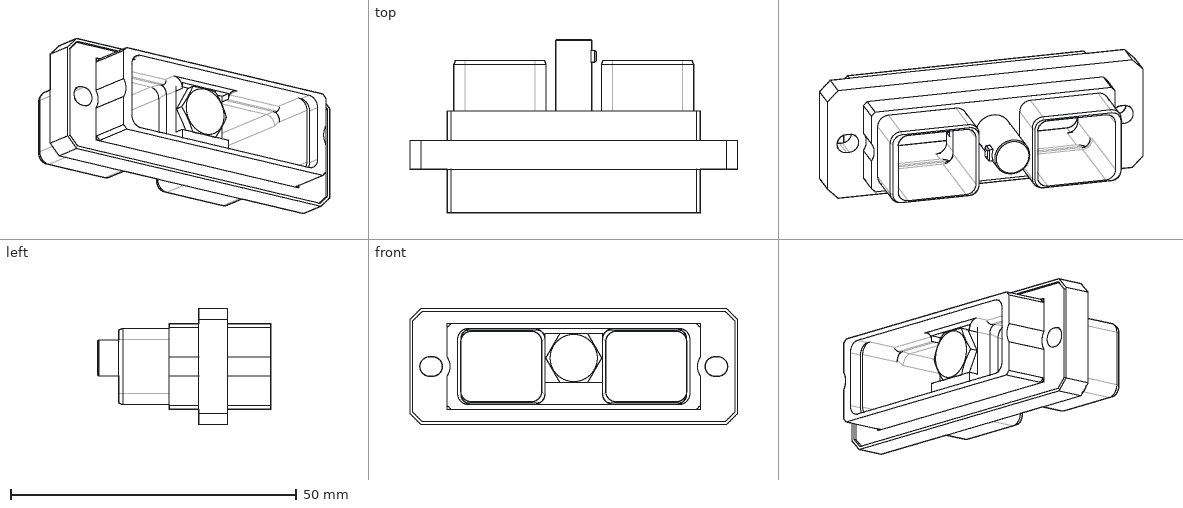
import cadquery as cq


flange_length = 57.45
flange_height = 20.35
flange_front = 7.6
flange_back = 12.7
flange_corner = 1.95
rim_width = 0.5
rim_depth = 0.5

hole_x = 25.0
hole_length = 3.9
hole_height = 3.4

shroud_length = 44.35
shroud_height = 15.05
shroud_back = 17.85
shroud_corner = 0.7
groove_depth = 0.5
groove_radius = 2.9
collar_height = 0.25

block_x = 12.9
block_length = 16.2
block_height = 13.4
block_corner = 1.95
block_back = 26.7
block_edge_depth = 0.75
block_edge_inset = 0.3

cavity_length = 40.7
cavity_height = 13.3
cavity_corner = 1.9
mouth_depth = 2.35
cell_inset = 0.6
cell_corner = 1.9
cell_inner_x = 5.05
ramp_start = 8.15
ramp_end = 9.75
ramp_rise = 0.3
divider_front = 5.65

taper_start = 10.35
taper_corner = 1.4
window_start = 11.8
window_inner_x = 5.65
window_height = 12.3
window_corner = 1.8

bolt_z = 1.5
channel_height = 8.6
channel_floor = 7.5
head_flats = 8.5
head_front = 5.75
head_face_radius = 4.15
head_bevel_slope = 0.4
shank_diameter = 6.4
shank_back = 30.4
shank_edge = 0.25

pin_y = 27.4
pin_width = 2.1
pin_reach = 3.95
pin_edge = 0.3

RIM_CORNER_FACTOR = 2 - 2 ** 0.5
HEXAGON_SIDES = 6
HEXAGON_CORNER_RATIO = 2 / 3 ** 0.5


def plane_at(y, x=0, z=0):
    """Work plane facing +Y; its local x runs along -X and its local y along +Z."""
    return cq.Workplane(cq.Plane(origin=(x, y, z), xDir=(-1, 0, 0), normal=(0, 1, 0)))


def bar(length, height, front, back, x=0, z=0):
    return plane_at(front, x, z).rect(length, height).extrude(back - front)


def rounded_bar(length, height, corner, front, back, x=0):
    return bar(length, height, front, back, x).edges("|Y").fillet(corner)


def rounded_section(length, height, corner):
    return cq.Sketch().rect(length, height).vertices().fillet(corner)


def transition(front_section, front, front_x, back_section, back, back_x):
    """Tapered length between two rounded rectangles."""
    return (
        plane_at(front)
        .placeSketch(
            front_section.moved(cq.Location(cq.Vector(-front_x, 0, 0))),
            back_section.moved(cq.Location(cq.Vector(-back_x, 0, back - front))),
        )
        .loft()
    )


def make_flange():
    flange = bar(flange_length, flange_height, flange_front, flange_back)
    flange = flange.edges("|Y").chamfer(flange_corner)
    recess = bar(
        flange_length - 2 * rim_width, flange_height - 2 * rim_width,
        flange_front, flange_front + rim_depth,
    )
    recess = recess.edges("|Y").chamfer(flange_corner - rim_width * RIM_CORNER_FACTOR)
    holes = (
        plane_at(flange_front)
        .pushPoints([(-hole_x, 0), (hole_x, 0)])
        .slot2D(hole_length, hole_height)
        .extrude(flange_back - flange_front)
    )
    return flange.cut(recess).cut(holes)


def make_shroud():
    shroud = bar(shroud_length, shroud_height, 0, shroud_back)
    shroud = shroud.edges("|Y").chamfer(shroud_corner)
    groove_x = shroud_length / 2 - groove_depth + groove_radius
    grooves = (
        plane_at(0)
        .pushPoints([(-groove_x, 0), (groove_x, 0)])
        .circle(groove_radius)
        .extrude(shroud_back)
    )
    recess_floor = flange_front + rim_depth
    collar = bar(shroud_length, shroud_height, recess_floor - collar_height, flange_back)
    return shroud.union(collar).cut(grooves)


def make_block(side):
    block = rounded_bar(
        block_length, block_height, block_corner, shroud_back, block_back, side * block_x
    )
    return block.faces(">Y").chamfer(block_edge_depth, block_edge_inset)


def make_cavity():
    """Shared front opening, stepped in at its ends and closed by the divider."""
    mouth = rounded_bar(cavity_length, cavity_height, cavity_corner, 0, mouth_depth)
    inner = rounded_bar(
        cavity_length - 2 * cell_inset, cavity_height, cell_corner, mouth_depth, divider_front
    )
    return mouth.union(inner)


def make_cell(side):
    """One cell beside the divider; ramps and a taper narrow it to a window through the block."""
    outer_x = cavity_length / 2 - cell_inset
    cell_length = outer_x - cell_inner_x
    cell_x = side * (outer_x + cell_inner_x) / 2
    cell = rounded_bar(cell_length, cavity_height, cell_corner, mouth_depth, taper_start, cell_x)

    half_height = cavity_height / 2
    low_half_height = half_height - ramp_rise
    upper_profile = [
        (mouth_depth, half_height),
        (ramp_start, half_height),
        (ramp_end, low_half_height),
        (taper_start, low_half_height),
    ]
    lower_profile = [(y, -z) for y, z in reversed(upper_profile)]
    ramped_space = (
        cq.Workplane("YZ")
        .polyline(upper_profile + lower_profile)
        .close()
        .extrude(cavity_length, both=True)
    )
    cell = cell.intersect(ramped_space)

    window_length = outer_x - window_inner_x
    window_x = side * (outer_x + window_inner_x) / 2
    taper = transition(
        rounded_section(cell_length, 2 * low_half_height, taper_corner), taper_start, cell_x,
        rounded_section(window_length, window_height, window_corner), window_start, window_x,
    )
    window = rounded_bar(
        window_length, window_height, window_corner, window_start, block_back, window_x
    )
    return cell.union(taper).union(window)


def make_bolt():
    head_corner_radius = head_flats / 2 * HEXAGON_CORNER_RATIO
    head_depth = channel_floor - head_front
    bevel_depth = (head_corner_radius - head_face_radius) * head_bevel_slope
    head = (
        plane_at(head_front, z=bolt_z)
        .polygon(HEXAGON_SIDES, 2 * head_corner_radius)
        .extrude(head_depth)
    )
    bevel = (
        plane_at(head_front, z=bolt_z)
        .circle(head_corner_radius)
        .extrude(head_depth)
        .faces("<Y")
        .chamfer(bevel_depth, head_corner_radius - head_face_radius)
    )
    shank = plane_at(channel_floor, z=bolt_z).circle(shank_diameter / 2).extrude(shank_back - channel_floor)
    shank = shank.faces(">Y").chamfer(shank_edge)
    pin = (
        cq.Workplane("YZ")
        .center(pin_y, bolt_z)
        .rect(pin_width, pin_width)
        .extrude(pin_reach)
        .faces(">X")
        .chamfer(pin_edge)
    )
    return head.intersect(bevel).union(shank).union(pin)


result = make_flange().union(make_shroud())
for side in (-1, 1):
    result = result.union(make_block(side))

result = result.cut(make_cavity())
for side in (-1, 1):
    result = result.cut(make_cell(side))

channel = bar(2 * cell_inner_x, channel_height, divider_front, channel_floor, z=bolt_z)
result = result.cut(channel).union(make_bolt())